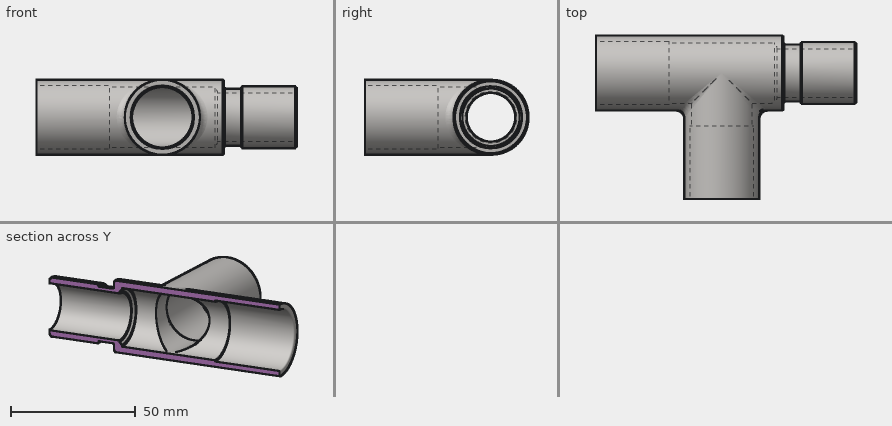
import cadquery as cq

overall_length = 104.7
body_length = 75.4
body_radius = 15.1
arm_length = 50.6
junction_radius = 3.1
shoulder_chamfer = 0.6

neck_radius = 11.5
neck_end = 82.2
plug_radius = 12.5
plug_lead_chamfer = 0.9
plug_root_chamfer = 0.6
neck_root_bevel = 0.4

socket_radius = 12.7
socket_depth = overall_length - body_length
bore_radius = 12.1
spigot_bore_radius = 9.7
mouth_fillet = 0.6
taper_radius = 11.5
taper_end = 72.8
throat_step = 0.6


def rod(radius, start, end):
    """Solid cylinder along X between two positions."""
    return cq.Workplane("YZ", origin=(start, 0, 0)).circle(radius).extrude(end - start)


def as_branch(shape):
    """Turn a shape made along +X from the run mouth into the branch position."""
    turned = shape.rotate((0, 0, 0), (0, 0, 1), 90)
    return turned.translate((arm_length, -arm_length, 0))


def make_tee_body():
    run = rod(body_radius, 0, body_length).faces(">X").chamfer(shoulder_chamfer)
    branch = as_branch(rod(body_radius, 0, arm_length))
    return run.union(branch).edges("%ELLIPSE").fillet(junction_radius)


def make_spigot():
    neck = rod(neck_radius, body_length - shoulder_chamfer, neck_end)
    plug = rod(plug_radius, neck_end, overall_length)
    plug = plug.faces("<X").chamfer(plug_root_chamfer)
    plug = plug.faces(">X").chamfer(plug_lead_chamfer)
    root_face = cq.Workplane("YZ", origin=(body_length, 0, 0)).circle(neck_radius + neck_root_bevel)
    root_cone = root_face.extrude(neck_root_bevel, taper=45)
    return neck.union(root_cone).union(plug)


def make_socket():
    """Cutter for a socket whose mouth is rounded outward, opening at X = 0."""
    profile = (
        cq.Workplane("XY")
        .lineTo(0, socket_radius + mouth_fillet)
        .radiusArc((mouth_fillet, socket_radius), -mouth_fillet)
        .lineTo(socket_depth, socket_radius)
        .lineTo(socket_depth, 0)
        .close()
    )
    return profile.revolve(360, (0, 0, 0), (1, 0, 0))


def make_run_bore():
    """Cutter for the run bore, narrowing through a cone into the spigot bore."""
    throat_radius = spigot_bore_radius + throat_step
    taper_start = taper_end - (taper_radius - throat_radius)
    profile = (
        cq.Workplane("XY")
        .lineTo(0, bore_radius)
        .lineTo(taper_start, bore_radius)
        .lineTo(taper_start, taper_radius)
        .lineTo(taper_end, throat_radius)
        .lineTo(taper_end, spigot_bore_radius)
        .lineTo(overall_length, spigot_bore_radius)
        .lineTo(overall_length, 0)
        .close()
    )
    return profile.revolve(360, (0, 0, 0), (1, 0, 0))


socket = make_socket()
branch_bore = as_branch(rod(bore_radius, 0, arm_length))

result = (
    make_tee_body()
    .union(make_spigot())
    .cut(make_run_bore())
    .cut(branch_bore)
    .cut(socket)
    .cut(as_branch(socket))
)